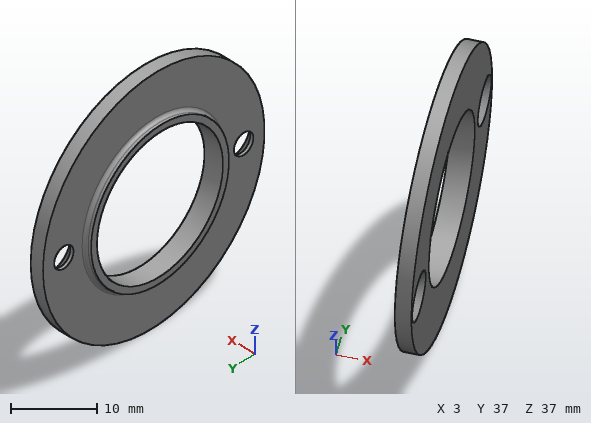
import cadquery as cq
import math

flange_diameter = 36.98
flange_thickness = 2.0

collar_diameter = 23.0
collar_height = 1.0
collar_root_fillet = collar_height / 2
bore_diameter = 21.0

hole_diameter = 3.2
hole_spacing = 30.0
hole_land = 0.5
countersink_angle = 90.0


def make_ring_body():
    """Revolve the half section (radius, axial position) around the X axis.

    The flange's -X face is at X = 0 and the collar reaches to negative X.
    """
    bore_radius = bore_diameter / 2
    collar_radius = collar_diameter / 2
    flange_radius = flange_diameter / 2
    section = (
        cq.Workplane("XY")
        .moveTo(-collar_height, bore_radius)
        .lineTo(-collar_height, collar_radius)
        .lineTo(-collar_root_fillet, collar_radius)
        .radiusArc((0, collar_radius + collar_root_fillet), -collar_root_fillet)
        .lineTo(0, flange_radius)
        .lineTo(flange_thickness, flange_radius)
        .lineTo(flange_thickness, bore_radius)
        .close()
    )
    return section.revolve(360, (0, 0, 0), (1, 0, 0))


def make_screw_hole_cutter():
    """Revolve the half section of one countersunk hole around the X axis."""
    hole_radius = hole_diameter / 2
    countersink_depth = flange_thickness - hole_land
    countersink_radius = hole_radius + countersink_depth * math.tan(math.radians(countersink_angle / 2))
    section = (
        cq.Workplane("XY")
        .lineTo(0, hole_radius)
        .lineTo(hole_land, hole_radius)
        .lineTo(flange_thickness, countersink_radius)
        .lineTo(flange_thickness, 0)
        .close()
    )
    return section.revolve(360, (0, 0, 0), (1, 0, 0))


result = make_ring_body()
for side in (-1, 1):
    result = result.cut(make_screw_hole_cutter().translate((0, side * hole_spacing / 2, 0)))